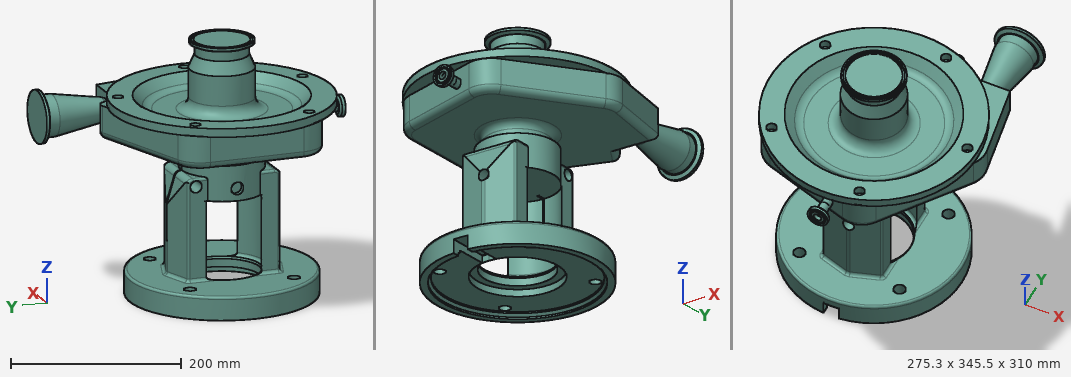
import cadquery as cq
import math

base_top = 29.5
leg_top = 155.0
clamp_bottom = 126.0
clamp_top = 169.5
casing_bottom = 189.5
flange_bottom = 230.8
flange_top = 241.0
inlet_top = 310.0

base_radius = 114.7
base_edge_round = 3.0
base_bore_radius = 46.5
bore_lead_width = 1.0
bore_lead_height = 2.8
base_hole_circle = 92.2
base_hole_radius = 7.3
base_hole_count = 4
base_hole_start_angle = 45
recess_rim_radius = 105.0
recess_radius = 101.5
recess_rim_height = 2.5
recess_cone_top = 6.0
recess_height = 8.0
counterbore_radius = 57.5
counterbore_top = 17.0
notch_width = 20.0
notch_height = 17.5

clamp_radius = 50.8
neck_radius = 41.5
neck_round = 9.7
leg_back_radius = 51.8
leg_half_width = 38.7
leg_shoulder_y = 57.7
leg_ridge_y = 69.5
leg_ridge_half_width = 2.5
leg_slope_bottom = 116.8
leg_foot_round = 4.0
leg_edge_round = 3.0
leg_top_round = 9.0
leg_hole_radius = 7.3
leg_hole_z = 114.0
clamp_bolt_y = 47.5
clamp_bolt_z = 145.0
clamp_bolt_radius = 7.3
slit_width = 2.5
slit_bottom = 71.0
boss_hole_radius = 7.5
boss_hole_z = 141.3
boss_hole_depth = 7.0

casing_sides = 5
casing_apothem = 114.5
casing_corner_round = 33.5
casing_bottom_round = 9.0
flange_radius = 134.7
flange_hole_circle = 121.5
flange_hole_radius = 6.2
flange_hole_count = casing_sides
dish_radius = 104.7
dish_depth = 16.0
dish_wall_angle = 45
dish_floor_round = 15.2

outlet_x = 95.7
outlet_z = 208.7
outlet_end_y = 195.0
outlet_face_y = 110.0
outlet_inner_x = 66.0
outlet_outer_x = 123.7
outlet_side_vertex = (142.5, 1.5)
lobe_vertex = (50.5, 136.5)
lobe_round = 10.5
outlet_tube_radius = 25.5
outlet_tube_length = 18.5
outlet_cone_end_radius = 15.0
outlet_tip_radius = 13.5
outlet_tip_length = 4.0
outlet_embed = 3.5
inlet_radius = 39.5
inlet_neck_radius = 32.0
inlet_cone_top = 292.3
inlet_cone_bottom = 276.0
inlet_foot_round = 14.5
drain_z = 211.8
drain_end_y = -150.5
drain_radius = 6.2
drain_bore_radius = 5.0
drain_bore_depth = 20.7
drain_embed = 17.3

inlet_ferrule = (38.7, 3.5, 33.0, 6.0)
outlet_ferrule = (32.0, 3.8, 27.0, 6.2)
drain_ferrule = (13.0, 4.5, 9.0, 6.5)

inlet_groove = (33.5, 36.3, 1.5)
drain_groove = (8.5, 10.5, 1.0)


def cylinder(radius, bottom, top):
    """Solid cylinder on the pump axis between two heights."""
    return cq.Workplane("XY").workplane(offset=bottom).circle(radius).extrude(top - bottom)


def box(x_range, y_range, z_range):
    """Box given by its limits along each axis."""
    (x0, x1), (y0, y1), (z0, z1) = x_range, y_range, z_range
    return cq.Workplane("XY").box(x1 - x0, y1 - y0, z1 - z0, centered=False).translate((x0, y0, z0))


def revolve_profile(points):
    """Turn a closed (radius, height) profile about the Z axis."""
    return cq.Workplane("XZ").polyline(points).close().revolve(360, (0, 0, 0), (0, 1, 0))


def hole_circle(count, circle_radius, hole_radius, start_angle, bottom, top):
    """Equally spaced upright cylinders used to cut a bolt circle."""
    holes = cq.Workplane("XY").workplane(offset=bottom)
    holes = holes.polarArray(circle_radius, start_angle, 360, count)
    return holes.circle(hole_radius).extrude(top - bottom)


def make_base():
    """Round foot with a stepped recess below, four bolt holes and a radial notch."""
    foot = cylinder(base_radius, 0, base_top).faces(">Z").edges().fillet(base_edge_round)
    recess = revolve_profile([
        (0, 0),
        (recess_rim_radius, 0),
        (recess_rim_radius, recess_rim_height),
        (recess_radius, recess_cone_top),
        (recess_radius, recess_height),
        (counterbore_radius, recess_height),
        (counterbore_radius, counterbore_top),
        (0, counterbore_top),
    ])
    notch = box((-notch_width / 2, notch_width / 2), (-base_radius, -counterbore_radius), (0, notch_height))
    bolt_holes = hole_circle(
        base_hole_count, base_hole_circle, base_hole_radius, base_hole_start_angle, 0, base_top
    )
    return foot.cut(recess).cut(notch).cut(bolt_holes)


def make_leg():
    """Leg on the -Y side: ridged front, sloped top facet and a hollow cylindrical back."""
    leg = (
        cq.Workplane("XY").workplane(offset=base_top)
        .polyline([
            (-leg_half_width, 0),
            (-leg_half_width, -leg_shoulder_y),
            (-leg_ridge_half_width, -leg_ridge_y),
            (leg_ridge_half_width, -leg_ridge_y),
            (leg_half_width, -leg_shoulder_y),
            (leg_half_width, 0),
        ])
        .close().extrude(leg_top - base_top)
    )
    facet_cut = (
        cq.Workplane("YZ")
        .polyline([
            (-leg_ridge_y, leg_slope_bottom),
            (-leg_shoulder_y, leg_top),
            (-leg_ridge_y, leg_top),
        ])
        .close().extrude(leg_half_width, both=True)
    )
    leg = leg.cut(facet_cut)
    leg = leg.faces(">Z").edges("<Y").fillet(leg_top_round)
    leg = leg.faces("<X or >X").edges("not (>Y or <Z)").fillet(leg_edge_round)
    return leg.cut(cylinder(leg_back_radius, base_top, clamp_bottom))


def make_stand():
    """Base and both legs, with the foot fillets."""
    front_leg = make_leg()
    rear_leg = front_leg.rotate((0, 0, 0), (0, 0, 1), 180)
    stand = make_base().union(front_leg).union(rear_leg)
    margin = 0.5
    foot_zone = cq.selectors.BoxSelector(
        (-leg_half_width - margin, -leg_ridge_y - margin, base_top - margin),
        (leg_half_width + margin, leg_ridge_y + margin, base_top + margin),
    )
    stand = stand.edges(foot_zone).fillet(leg_foot_round)
    bore_mouth = base_bore_radius + bore_lead_width
    bore = revolve_profile([
        (0, 0),
        (base_bore_radius, 0),
        (base_bore_radius, base_top - bore_lead_height),
        (bore_mouth, base_top),
        (0, base_top),
    ])
    return stand.cut(bore)


def make_casing():
    """Rounded pentagon with the outlet block on its +X +Y side."""
    half_sector = math.pi / casing_sides
    half_side = casing_apothem * math.tan(half_sector)
    corner_radius = casing_apothem / math.cos(half_sector)
    lower_angle = -2 * half_sector
    rounded_corners = [
        (-casing_apothem, half_side),
        (-casing_apothem, -half_side),
        (corner_radius * math.cos(lower_angle), corner_radius * math.sin(lower_angle)),
        outlet_side_vertex,
    ]
    outline = rounded_corners + [
        (outlet_outer_x, outlet_face_y),
        (outlet_inner_x, outlet_face_y),
        lobe_vertex,
    ]
    height = flange_bottom - casing_bottom
    casing = cq.Workplane("XY").workplane(offset=casing_bottom).polyline(outline).close().extrude(height)
    corner_rounds = [(corner, casing_corner_round) for corner in rounded_corners]
    corner_rounds.append((lobe_vertex, lobe_round))
    for (x, y), radius in corner_rounds:
        corner_edge = cq.selectors.NearestToPointSelector((x, y, casing_bottom + height / 2))
        casing = casing.edges("|Z").edges(corner_edge).fillet(radius)
    return casing.faces("<Z").edges().fillet(casing_bottom_round)


def make_flange():
    """Round flange on top of the casing."""
    return cylinder(flange_radius, flange_bottom, flange_top)


def make_dish():
    """Cutter for the hollow around the inlet: sloped wall, rounded floor and rounded inlet foot."""
    floor = flange_top - dish_depth
    wall_angle = math.radians(dish_wall_angle)
    round_rise = dish_floor_round * (1 - math.cos(wall_angle))
    round_run = dish_floor_round * math.sin(wall_angle)
    wall_end = dish_radius - (dish_depth - round_rise) / math.tan(wall_angle)
    floor_end = wall_end - round_run
    half_angle = wall_angle / 2
    round_middle = (
        floor_end + dish_floor_round * math.sin(half_angle),
        floor + dish_floor_round * (1 - math.cos(half_angle)),
    )
    diagonal = inlet_foot_round * (1 - math.sqrt(0.5))
    return (
        cq.Workplane("XZ")
        .moveTo(inlet_radius, flange_top)
        .lineTo(dish_radius, flange_top)
        .lineTo(wall_end, floor + round_rise)
        .threePointArc(round_middle, (floor_end, floor))
        .lineTo(inlet_radius + inlet_foot_round, floor)
        .threePointArc((inlet_radius + diagonal, floor + diagonal), (inlet_radius, floor + inlet_foot_round))
        .close().revolve(360, (0, 0, 0), (0, 1, 0))
    )


def make_neck():
    """Turned neck between the clamp and the casing, flared into the casing floor."""
    diagonal = neck_round * (1 - math.sqrt(0.5))
    return (
        cq.Workplane("XZ")
        .moveTo(0, clamp_top)
        .lineTo(neck_radius, clamp_top)
        .lineTo(neck_radius, casing_bottom - neck_round)
        .threePointArc(
            (neck_radius + diagonal, casing_bottom - diagonal),
            (neck_radius + neck_round, casing_bottom),
        )
        .lineTo(0, casing_bottom)
        .close().revolve(360, (0, 0, 0), (0, 1, 0))
    )


def ferrule_profile(ferrule, tube_radius):
    """Rim of a clamp ferrule whose sealing face lies at height 0, as (radius, height) points."""
    rim_radius, rim_thickness, back_radius, back_depth = ferrule
    return [
        (0, 0),
        (rim_radius, 0),
        (rim_radius, -rim_thickness),
        (back_radius, -back_depth),
        (tube_radius, -back_depth),
    ]


def ring_groove(inner_radius, outer_radius, depth):
    """Cutter for the gasket groove of a ferrule with its face at height 0."""
    return cq.Workplane("XY").circle(outer_radius).circle(inner_radius).extrude(-depth)


def make_inlet():
    """Vertical inlet pipe with a ferrule on top."""
    foot = flange_bottom - inlet_top
    pipe = revolve_profile(ferrule_profile(inlet_ferrule, inlet_neck_radius) + [
        (inlet_neck_radius, inlet_cone_top - inlet_top),
        (inlet_radius, inlet_cone_bottom - inlet_top),
        (inlet_radius, foot),
        (0, foot),
    ])
    return pipe.cut(ring_groove(*inlet_groove)).translate((0, 0, inlet_top))


def make_outlet():
    """Horizontal tapered outlet pointing along +Y."""
    tip = outlet_face_y - outlet_end_y
    root = tip - outlet_embed
    pipe = revolve_profile(ferrule_profile(outlet_ferrule, outlet_tube_radius) + [
        (outlet_tube_radius, -outlet_tube_length),
        (outlet_cone_end_radius, tip + outlet_tip_length),
        (outlet_tip_radius, tip),
        (outlet_tip_radius, root),
        (0, root),
    ])
    return pipe.rotate((0, 0, 0), (1, 0, 0), -90).translate((outlet_x, outlet_end_y, outlet_z))


def make_drain():
    """Small drain stub pointing along -Y, rooted inside the casing."""
    root = drain_end_y + casing_apothem - drain_embed
    pipe = revolve_profile(ferrule_profile(drain_ferrule, drain_radius) + [
        (drain_radius, root),
        (0, root),
    ])
    pipe = pipe.cut(ring_groove(*drain_groove))
    return pipe.rotate((0, 0, 0), (1, 0, 0), 90).translate((0, drain_end_y, drain_z))


def make_stand_cuts():
    """Clamp bolt hole, front leg hole, side hole of the boss and the slit that lets the clamp close."""
    reach = base_radius
    bolt_hole = (
        cq.Workplane("YZ").center(clamp_bolt_y, clamp_bolt_z)
        .circle(clamp_bolt_radius).extrude(reach, both=True)
    )
    front_hole = cq.Workplane("XZ").center(0, leg_hole_z).circle(leg_hole_radius).extrude(reach)
    side_hole = (
        cq.Workplane("YZ").workplane(offset=-clamp_radius).center(0, boss_hole_z)
        .circle(boss_hole_radius).extrude(boss_hole_depth)
    )
    slit = box((-slit_width / 2, slit_width / 2), (neck_radius, reach), (slit_bottom, clamp_top))
    return bolt_hole.union(front_hole).union(side_hole).union(slit)


def make_drain_bore():
    """Cutter for the blind bore of the drain stub."""
    bore = cq.Workplane("XZ").workplane(offset=-drain_end_y).center(0, drain_z)
    return bore.circle(drain_bore_radius).extrude(-drain_bore_depth)


clamp = cylinder(clamp_radius, clamp_bottom, clamp_top)
stand = make_stand().union(clamp).cut(make_stand_cuts())

flange_holes = hole_circle(
    flange_hole_count, flange_hole_circle, flange_hole_radius, 0, flange_bottom, flange_top
)
housing = make_casing().union(make_flange()).cut(make_dish()).cut(flange_holes)
housing = housing.union(make_neck()).union(make_inlet()).union(make_outlet())
housing = housing.union(make_drain()).cut(make_drain_bore())

result = stand.union(housing)